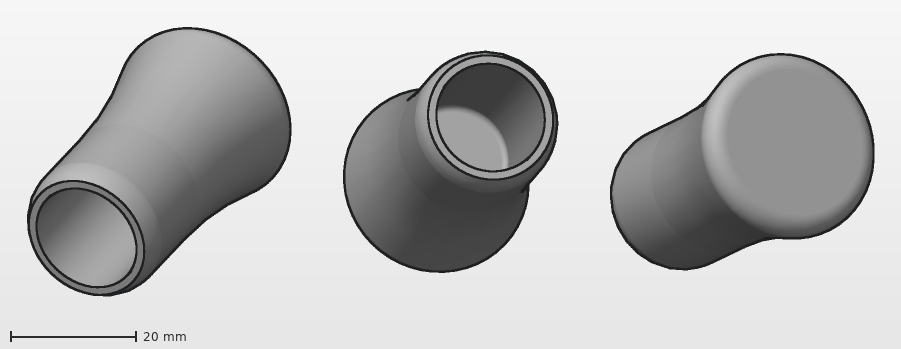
import cadquery as cq
import math

length = 47.0
head_radius = 15.0
neck_radius = 11.5

nose_length = 3.75
nose_round = 6.0

flare_radius = 100.0
rim_round = 3.0

bore_radius = 8.85
bore_depth = 30.0
bore_floor_fillet = 1.0


def point_on_circle(center, radius, angle):
    """Point (radial, axial) at an angle measured from the radial direction."""
    return (
        center[0] + radius * math.cos(angle),
        center[1] + radius * math.sin(angle),
    )


def make_body():
    nose_center = (neck_radius - nose_round, nose_length)
    nose_angle = -math.asin(nose_length / nose_round)
    nose_start = point_on_circle(nose_center, nose_round, nose_angle)
    nose_middle = point_on_circle(nose_center, nose_round, nose_angle / 2)

    rim_center = (head_radius - rim_round, length - rim_round)
    center_distance = flare_radius + rim_round
    radial_offset = neck_radius + flare_radius - rim_center[0]
    flare_angle = math.acos(radial_offset / center_distance)
    flare_start = rim_center[1] - center_distance * math.sin(flare_angle)
    flare_center = (neck_radius + flare_radius, flare_start)
    flare_middle = point_on_circle(flare_center, flare_radius, math.pi - flare_angle / 2)
    flare_end = point_on_circle(rim_center, rim_round, -flare_angle)
    rim_middle = point_on_circle(rim_center, rim_round, (math.pi / 2 - flare_angle) / 2)

    profile = (
        cq.Workplane("XY")
        .lineTo(*nose_start)
        .threePointArc(nose_middle, (neck_radius, nose_length))
        .lineTo(neck_radius, flare_start)
        .threePointArc(flare_middle, flare_end)
        .threePointArc(rim_middle, (rim_center[0], length))
        .lineTo(0, length)
        .close()
    )
    return profile.revolve(360, (0, 0, 0), (0, 1, 0))


def make_bore():
    bore = cq.Workplane("XZ").circle(bore_radius).extrude(-bore_depth)
    return bore.faces(">Y").edges().fillet(bore_floor_fillet)


result = make_body().cut(make_bore())